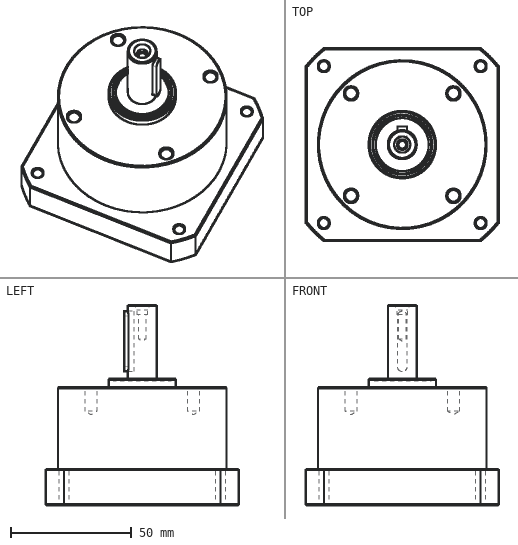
import cadquery as cq
import math

plate_side = 80.0
plate_height = 15.0
corner_diameter = 102.9
plate_edge_chamfer = 0.5

housing_diameter = 70.0
housing_top = 49.0
housing_chamfer = 0.5
collar_diameter = 28.0
collar_top = 52.45
collar_chamfer = 0.5

groove_outer_diameter = 24.0
groove_inner_diameter = 22.0
groove_depth = 1.0
groove_chamfer = 0.4

shaft_diameter = 12.0
shaft_top = 83
shaft_chamfer = 0.5

center_mouth_diameter = 6.7
center_bore_diameter = 4.3
center_cone_depth = 2.1
center_bore_depth = 4.0
center_drill_diameter = 3.2
center_drill_depth = 14.0

corner_hole_diameter = 4.15
corner_hole_mouth = 5
corner_hole_spacing = 65.0

face_hole_diameter = 4.9
face_hole_mouth = 6.0
face_hole_spacing = 42.4
face_hole_depth = 10

drill_point_angle = 118

key_width = 4.0
key_length = 25.0
key_bottom = 55.45
key_inner_y = 3.5
key_outer_y = 7.5


def cylinder(diameter, bottom, top):
    return cq.Workplane("XY").workplane(offset=bottom).circle(diameter / 2).extrude(top - bottom)


def drilled_hole(diameter, mouth_diameter, depth, top):
    """Blind hole on the Z axis with a 45 degree mouth and a conical drill point."""
    radius = diameter / 2
    mouth_radius = mouth_diameter / 2
    point_depth = radius / math.tan(math.radians(drill_point_angle / 2))
    profile = [
        (0, top),
        (mouth_radius, top),
        (radius, top - (mouth_radius - radius)),
        (radius, top - depth),
        (0, top - depth - point_depth),
    ]
    return cq.Workplane("XZ").polyline(profile).close().revolve(360, (0, 0, 0), (0, 1, 0))


def square_pattern(tool, spacing):
    """Four copies of a tool at the corners of a square centered on the Z axis."""
    half = spacing / 2
    copies = cq.Workplane("XY")
    for x in (-half, half):
        for y in (-half, half):
            copies = copies.add(tool.translate((x, y, 0)))
    return copies.combine()


def make_plate():
    square = cq.Workplane("XY").rect(plate_side, plate_side).extrude(plate_height)
    plate = square.intersect(cylinder(corner_diameter, 0, plate_height))
    return plate.faces("<Z or >Z").edges().chamfer(plate_edge_chamfer)


def make_groove():
    """Ring groove in the collar top, chamfered along its outer rim."""
    inner_radius = groove_inner_diameter / 2
    outer_radius = groove_outer_diameter / 2
    profile = [
        (inner_radius, collar_top - groove_depth),
        (outer_radius, collar_top - groove_depth),
        (outer_radius, collar_top - groove_chamfer),
        (outer_radius + groove_chamfer, collar_top),
        (inner_radius, collar_top),
    ]
    return cq.Workplane("XZ").polyline(profile).close().revolve(360, (0, 0, 0), (0, 1, 0))


def make_center_hole():
    mouth_radius = center_mouth_diameter / 2
    bore_radius = center_bore_diameter / 2
    drill_radius = center_drill_diameter / 2
    bore_bottom = shaft_top - center_bore_depth
    drill_bottom = shaft_top - center_drill_depth
    drill_tip = drill_bottom - drill_radius / math.tan(math.radians(drill_point_angle / 2))
    profile = [
        (0, shaft_top),
        (mouth_radius, shaft_top),
        (bore_radius, shaft_top - center_cone_depth),
        (bore_radius, bore_bottom),
        (drill_radius, bore_bottom),
        (drill_radius, drill_bottom),
        (0, drill_tip),
    ]
    return cq.Workplane("XZ").polyline(profile).close().revolve(360, (0, 0, 0), (0, 1, 0))


def make_key():
    """Key standing along the shaft; it fills the keyway of the same shape."""
    key_middle = key_bottom + key_length / 2
    return (
        cq.Workplane("XZ", origin=(0, key_inner_y, key_middle))
        .slot2D(key_length, key_width, 90)
        .extrude(key_inner_y - key_outer_y)
    )


def make_gearbox(key):
    housing = cylinder(housing_diameter, plate_height, housing_top).faces(">Z").chamfer(housing_chamfer)
    collar = cylinder(collar_diameter, housing_top, collar_top).faces(">Z").chamfer(collar_chamfer)
    shaft = cylinder(shaft_diameter, collar_top, shaft_top).faces(">Z").chamfer(shaft_chamfer)
    gearbox = make_plate().union(housing).union(collar).cut(make_groove()).union(shaft)

    corner_hole = drilled_hole(corner_hole_diameter, corner_hole_mouth, plate_height, plate_height)
    face_hole = drilled_hole(face_hole_diameter, face_hole_mouth, face_hole_depth, housing_top)
    gearbox = gearbox.cut(square_pattern(corner_hole, corner_hole_spacing))
    gearbox = gearbox.cut(square_pattern(face_hole, face_hole_spacing))

    return gearbox.cut(make_center_hole()).cut(key)


key = make_key()
gearbox = make_gearbox(key)
result = cq.Compound.makeCompound([gearbox.val(), key.val()])